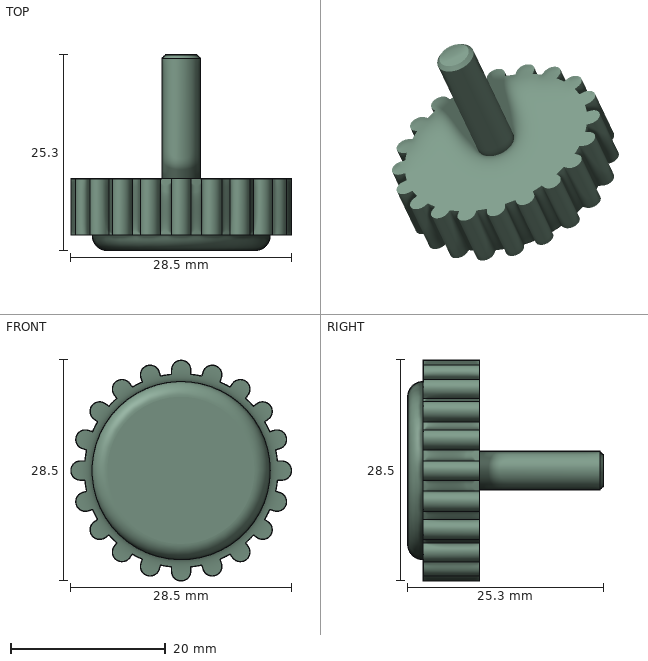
import cadquery as cq
import math

tooth_count = 20
tooth_radius = 1.25
outer_radius = 14.25
tooth_center_radius = outer_radius - tooth_radius
body_radius = 12.5
body_thickness = 7.3

cap_radius = 11.5
cap_height = 2.0

shank_diameter = 5.0
shank_length = 16.0
shank_chamfer = 0.5


def disc(radius, start_y, length):
    """Cylinder on the Y axis running from start_y towards +Y."""
    plane = cq.Workplane("XZ", origin=(0, start_y, 0))
    return plane.circle(radius).extrude(-length)


def make_teeth():
    """Round-tipped teeth with parallel flanks that run into the body."""
    tooth_width = 2 * tooth_radius
    flank = (
        cq.Workplane("XZ")
        .center(tooth_center_radius / 2, 0)
        .rect(tooth_center_radius, tooth_width)
        .extrude(-body_thickness)
    )
    tip = (
        cq.Workplane("XZ")
        .center(tooth_center_radius, 0)
        .circle(tooth_radius)
        .extrude(-body_thickness)
    )
    tooth = flank.union(tip)
    pitch_angle = 360 / tooth_count
    teeth = tooth
    for index in range(1, tooth_count):
        teeth = teeth.union(tooth.rotate((0, 0, 0), (0, 1, 0), index * pitch_angle))
    return teeth


def make_cap():
    """Front cap whose edge is a full quarter-round, drawn as a revolved profile."""
    flat_radius = cap_radius - cap_height
    arc_mid_offset = cap_height * math.sin(math.radians(45))
    return (
        cq.Workplane("XY")
        .moveTo(0, 0)
        .lineTo(cap_radius, 0)
        .threePointArc((flat_radius + arc_mid_offset, -arc_mid_offset), (flat_radius, -cap_height))
        .lineTo(0, -cap_height)
        .close()
        .revolve(360, (0, 0, 0), (0, 1, 0))
    )


def make_shank():
    """Plain shank with a chamfered free end."""
    shank = disc(shank_diameter / 2, body_thickness, shank_length)
    return shank.faces(">Y").chamfer(shank_chamfer)


body = disc(body_radius, 0, body_thickness).union(make_teeth())
result = body.union(make_cap()).union(make_shank())